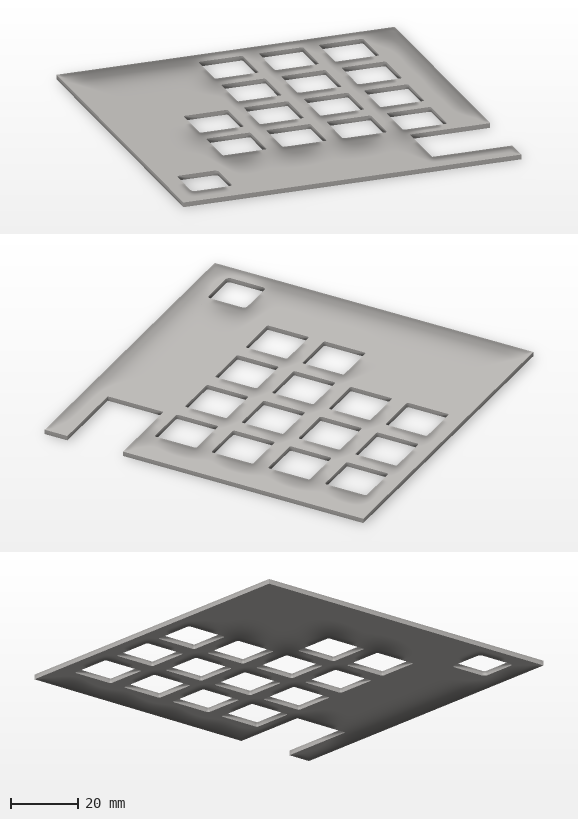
import cadquery as cq

plate_side = 107.0
plate_thickness = 1.5

window_side = 14.0
window_corner_radius = 0.5
window_pitch = 19.0
first_window_x = 12.4
top_row_offset = 19.0
first_window_y = plate_side - top_row_offset
window_columns_by_row = [
    (0, 1, 2, 3),
    (0, 1, 2, 3),
    (0, 1, 2, 3),
    (2, 3),
]

small_window_side = 13.0
small_window_corner_radius = 1.2
small_window_center = (93.3, 11.9)

notch_left = 80.7
notch_width = 18.7
notch_depth = 25.5


def square_cutter(center, side, corner_radius):
    """Square prism with rounded upright edges, as tall as the plate."""
    return (
        cq.Workplane("XY")
        .center(*center)
        .rect(side, side)
        .extrude(plate_thickness)
        .edges("|Z")
        .fillet(corner_radius)
    )


plate = cq.Workplane("XY").box(plate_side, plate_side, plate_thickness, centered=False)

for row, columns in enumerate(window_columns_by_row):
    for column in columns:
        window_center = (
            first_window_x + column * window_pitch,
            first_window_y - row * window_pitch,
        )
        plate = plate.cut(square_cutter(window_center, window_side, window_corner_radius))

plate = plate.cut(
    square_cutter(small_window_center, small_window_side, small_window_corner_radius)
)

notch = (
    cq.Workplane("XY")
    .box(notch_width, notch_depth, plate_thickness, centered=False)
    .translate((notch_left, plate_side - notch_depth, 0))
)

result = plate.cut(notch)